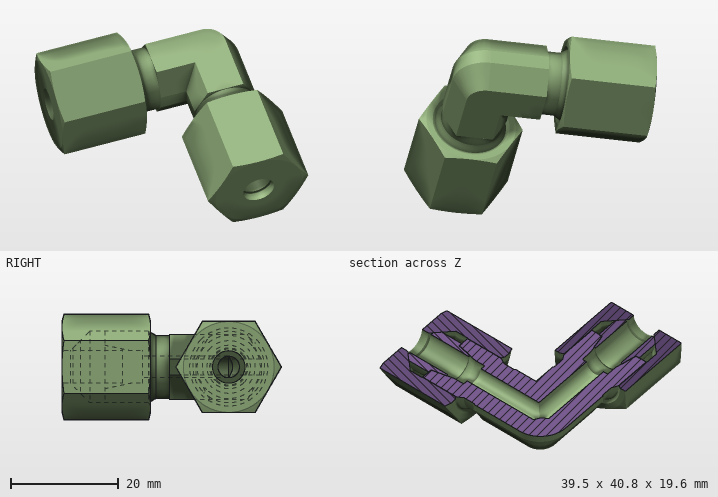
import cadquery as cq
import math


overall_length = 40.8
nut_across_corners = 19.65
arm_reach = overall_length - nut_across_corners / 2

body_width = 12.12
body_top_flat = 6.95
body_side_flat = 2.9
shoulder_reach = 11.0
neck_radius = 5.88
neck_end = 13.55
thread_radius = 6.65
thread_flare_angle = 30.0
body_end = 23.0
bore_radius = 2.0
drill_point_angle = 120.0
tube_radius = 3.0
socket_bottom = 16.0
cone_half_angle = 12.0
cone_mouth_radius = 4.05

nut_length = 16.5
nut_start = arm_reach - nut_length
nut_face_radius = 8.45
nut_edge_angle = 15.0
countersink_radius = 7.25
countersink_angle = 60.0
tube_hole_depth = 1.55
nut_seat_angle = 45.0

ring_back_gap = 0.55
ring_radius = 4.9
ring_tip_wall = 0.33


def tan_deg(angle):
    return math.tan(math.radians(angle))


def turned(points):
    """Turn a closed (radius, height) outline about the Z axis."""
    return cq.Workplane("XZ").polyline(points).close().revolve(360, (0, 0, 0), (0, 1, 0))


arm_frames = [
    cq.Plane(origin=(0, 0, 0), xDir=(0, 1, 0), normal=(1, 0, 0)),
    cq.Plane(origin=(0, 0, 0), xDir=(0, 0, 1), normal=(0, -1, 0)),
]


def on_arm(part, frame):
    """Move a part drawn along Z onto an arm."""
    return cq.Workplane(part.solids().val().moved(cq.Location(frame)))



def half_section():
    """Right half of the body's chamfered section, from the middle outwards."""
    half_width = body_width / 2
    return [
        (0, -half_width),
        (body_top_flat / 2, -half_width),
        (half_width, -body_side_flat / 2),
        (half_width, body_side_flat / 2),
        (body_top_flat / 2, half_width),
        (0, half_width),
    ]


def elbow_block():
    """Two chamfered bars meeting at the origin, with a rounded outer corner."""
    right_half = half_section()
    left_half = [(-x, z) for x, z in reversed(right_half[1:-1])]
    section = right_half + left_half
    bar_y = cq.Workplane("XZ").polyline(section).close().extrude(shoulder_reach)
    bar_x = bar_y.rotate((0, 0, 0), (0, 0, 1), 90)
    corner = (
        cq.Workplane("YZ").polyline(right_half).close()
        .revolve(90, (0, 0, 0), (0, 1, 0))
    )
    return bar_x.union(bar_y).union(corner)


def threaded_end():
    """Neck that flares out to the thread, a plain cylinder."""
    flare_length = (thread_radius - neck_radius) / tan_deg(thread_flare_angle)
    return turned([
        (0, shoulder_reach),
        (neck_radius, shoulder_reach),
        (neck_radius, neck_end),
        (thread_radius, neck_end + flare_length),
        (thread_radius, body_end),
        (0, body_end),
    ])


def arm_passage():
    """Drilled bore with a pointed end, tube socket and sealing cone."""
    point_length = bore_radius / tan_deg(drill_point_angle / 2)
    cone_depth = (cone_mouth_radius - tube_radius) / tan_deg(cone_half_angle)
    return turned([
        (0, -point_length),
        (bore_radius, 0),
        (bore_radius, socket_bottom),
        (tube_radius, socket_bottom),
        (tube_radius, body_end - cone_depth),
        (cone_mouth_radius, body_end),
        (0, body_end),
    ])


def make_elbow():
    elbow = elbow_block()
    for frame in arm_frames:
        elbow = elbow.union(on_arm(threaded_end(), frame))
    for frame in arm_frames:
        elbow = elbow.cut(on_arm(arm_passage(), frame))
    return elbow



tube_hole_end = arm_reach - tube_hole_depth


def nut_edge_cone():
    """Turned envelope that chamfers the hexagon's corners at both ends."""
    corner_radius = nut_across_corners / 2
    edge_height = (corner_radius - nut_face_radius) * tan_deg(nut_edge_angle)
    return turned([
        (0, nut_start),
        (nut_face_radius, nut_start),
        (corner_radius, nut_start + edge_height),
        (corner_radius, arm_reach - edge_height),
        (nut_face_radius, arm_reach),
        (0, arm_reach),
    ])


def nut_cavity():
    """Countersunk thread bore, conical ring seat and tube hole."""
    countersink_depth = (countersink_radius - thread_radius) / tan_deg(countersink_angle)
    seat_length = (thread_radius - tube_radius) / tan_deg(nut_seat_angle)
    return turned([
        (0, nut_start),
        (countersink_radius, nut_start),
        (thread_radius, nut_start + countersink_depth),
        (thread_radius, tube_hole_end - seat_length),
        (tube_radius, tube_hole_end),
        (tube_radius, arm_reach),
        (0, arm_reach),
    ])


def make_nut():
    hexagon = (
        cq.Workplane("XY").workplane(offset=nut_start)
        .polygon(6, nut_across_corners).extrude(nut_length)
    )
    return hexagon.intersect(nut_edge_cone()).cut(nut_cavity())



def make_ring():
    """Ring that fills the sealing cone and bears on the nut's conical seat."""
    back = tube_hole_end - ring_back_gap
    back_radius = tube_radius + ring_back_gap * tan_deg(nut_seat_angle)
    seat_length = (ring_radius - back_radius) / tan_deg(nut_seat_angle)
    tip_radius = tube_radius + ring_tip_wall
    tip = body_end - (cone_mouth_radius - tip_radius) / tan_deg(cone_half_angle)
    return turned([
        (tube_radius, tip),
        (tip_radius, tip),
        (cone_mouth_radius, body_end),
        (ring_radius, body_end),
        (ring_radius, back - seat_length),
        (back_radius, back),
        (tube_radius, back),
    ])


elbow = make_elbow()
nuts = [on_arm(make_nut(), frame) for frame in arm_frames]
rings = [on_arm(make_ring(), frame) for frame in arm_frames]

result = cq.Compound.makeCompound([
    elbow.solids().val(),
    *[nut.val() for nut in nuts],
    *[ring.val() for ring in rings],
])